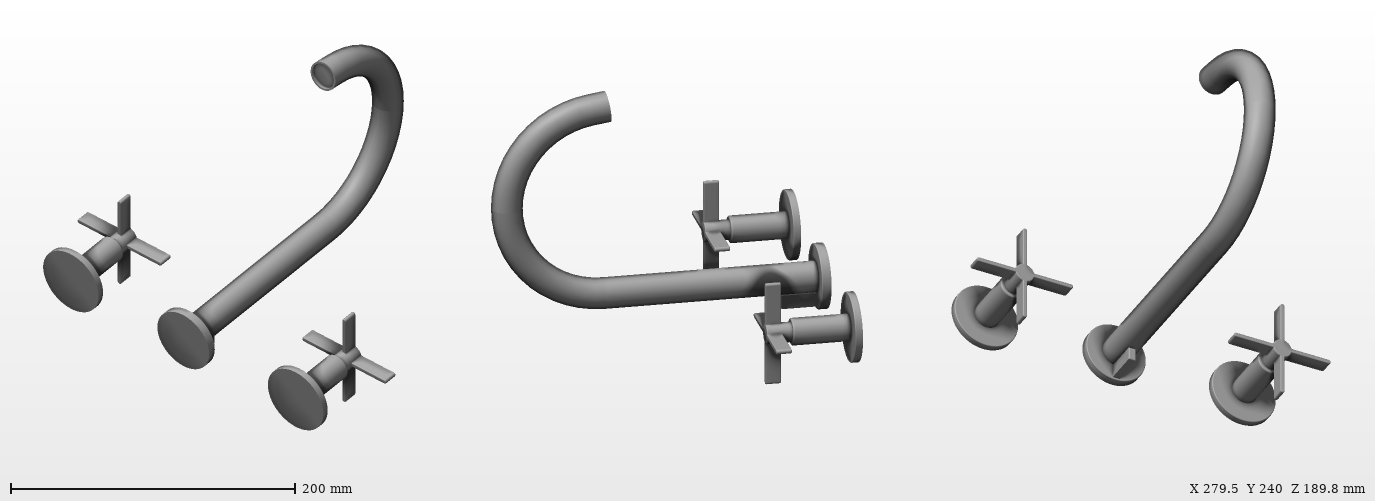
import cadquery as cq
import math


tube_radius = 11.2
spout_base_radius = 23.5
spout_base_thickness = 6.7
bend_radius = 69.8
bend_center_y = 159.0
tip_rise_angle = 8.0
tip_length = 12.5
outlet_radius = 9.8
outlet_depth = 2.8

block_width = 5.5
block_height = 10.0
block_gap = 0.5
block_end_radius = 0.8
block_end_y = 31.9

handle_spacing = 203.5
flange_radius = 25.1
flange_thickness = 5.3
stem_radius = 9.8
stem_end_y = 46.7
hub_radius = 7.3
handle_end_y = 65.0
blade_span = 76.0
blade_depth = 11.2
blade_thickness = 3.4
blade_edge_radius = 0.7
flange_edge_radius = 0.7
stem_edge_radius = 1.0


def disc_along_y(radius, start_y, end_y):
    """Round bar about the Y axis between two Y positions."""
    plane = cq.Workplane("XZ", origin=(0, start_y, 0))
    return plane.circle(radius).extrude(start_y - end_y)


def make_spout():
    """Wall base, bent tube and the shallow recess in its outlet."""
    rise = math.radians(tip_rise_angle)
    bend_side = (bend_center_y + bend_radius, bend_radius)

    def point_on_bend(angle):
        return (
            bend_center_y + bend_radius * math.cos(angle),
            bend_radius + bend_radius * math.sin(angle),
        )

    bend_end = point_on_bend(math.pi / 2 - rise)
    outlet_direction = cq.Vector(0, -math.cos(rise), math.sin(rise))
    outlet_center = cq.Vector(0, *bend_end) + outlet_direction * tip_length

    path = (
        cq.Workplane("YZ")
        .lineTo(bend_center_y, 0)
        .threePointArc(point_on_bend(-math.pi / 4), bend_side)
        .threePointArc(point_on_bend((math.pi / 2 - rise) / 2), bend_end)
        .lineTo(outlet_center.y, outlet_center.z)
    )
    tube = cq.Workplane("XZ").circle(tube_radius).sweep(path)
    base = disc_along_y(spout_base_radius, 0, spout_base_thickness)
    base = base.faces(">Y").edges().fillet(flange_edge_radius)
    outlet_plane = cq.Plane(outlet_center, (1, 0, 0), outlet_direction)
    outlet = cq.Workplane(outlet_plane).circle(outlet_radius).extrude(-outlet_depth)
    return base.union(tube).cut(outlet)


def make_block():
    """Small block on the spout base, just below the tube, with an eased far end."""
    length = block_end_y - spout_base_thickness
    return (
        cq.Workplane("XY")
        .box(block_width, length, block_height, centered=(True, False, False))
        .faces(">Y")
        .edges()
        .fillet(block_end_radius)
        .translate((0, spout_base_thickness, -tube_radius - block_gap - block_height))
    )


def make_blade():
    """Flat bar lying along X across the handle axis, with fully rounded ends."""
    plane = cq.Workplane("XZ", origin=(0, handle_end_y, 0))
    blade = plane.slot2D(blade_span, blade_thickness).extrude(blade_depth)
    return blade.faces("<Y").edges().fillet(blade_edge_radius)


def make_cross():
    """Hub and two crossed blades, with every outer edge and blade root eased."""
    blade = make_blade()
    upright_blade = blade.rotate((0, 0, 0), (0, 1, 0), 90)
    hub = disc_along_y(hub_radius, stem_end_y, handle_end_y)
    cross = hub.union(blade).union(upright_blade)
    roots = cq.selectors.BoxSelector(
        (-hub_radius, stem_end_y + blade_edge_radius, -hub_radius),
        (hub_radius, handle_end_y - blade_edge_radius, hub_radius),
    )
    cross = cross.edges(roots).fillet(blade_edge_radius)
    return cross.faces(">Y").edges().fillet(blade_edge_radius)


def make_handle(center_x):
    """Wall flange, stem and cross as one solid."""
    flange = disc_along_y(flange_radius, 0, flange_thickness)
    flange = flange.faces(">Y").edges().fillet(flange_edge_radius)
    stem = disc_along_y(stem_radius, 0, stem_end_y)
    stem = stem.faces(">Y").edges().fillet(stem_edge_radius)
    return flange.union(stem).union(make_cross()).translate((center_x, 0, 0))


spout = make_spout()
block = make_block()
handles = [make_handle(side * handle_spacing / 2) for side in (-1, 1)]

result = cq.Compound.makeCompound(
    [spout.val(), block.val(), *[handle.val() for handle in handles]]
)